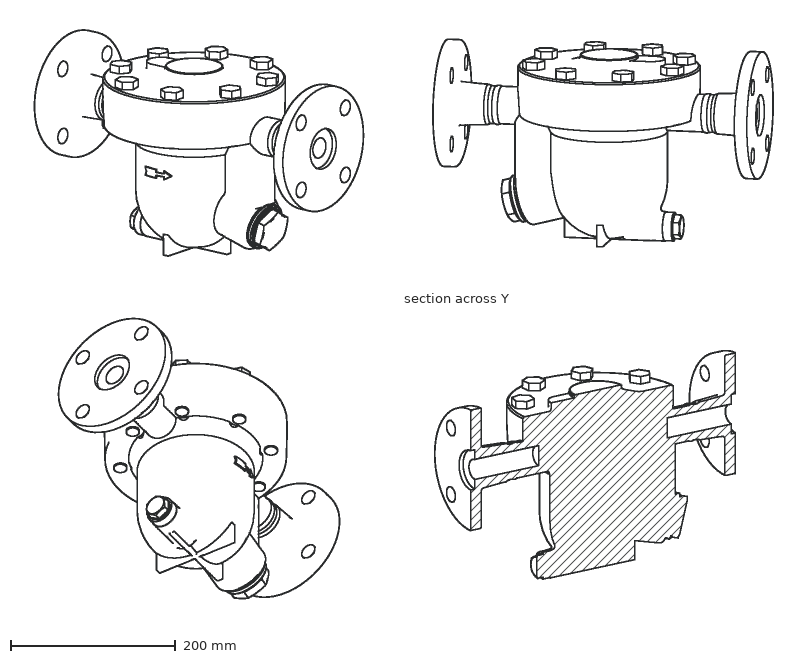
import cadquery as cq
import math


INLET_X = -187.5
OUTLET_X = 202.5
FLANGE_DIA = 155.0
FLANGE_THICKNESS = 16.0
FLANGE_EDGE_ROUND = 2.5
FLANGE_BOLT_CIRCLE_DIA = 120.0
FLANGE_HOLE_DIA = 19.0
FLANGE_HOLE_COUNT = 4
HUB_BASE_DIA = 53.0
HUB_FILLET = 3.0
HUB_END_DIA = 49.5
HUB_END = 52.0
HUB_WELD_END = 56.5
BEAD_START = 61.5
BEAD_END = 68.5
BEAD_HEIGHT = 1.0
PIPE_DIA = 46.0
RECESS_DIA = 50.0
RECESS_DEPTH = 6.0
BORE_DIA = 25.0
BORE_DEPTH = 100.0

COVER_DIA = 222.0
COVER_TOP_Z = 54.0
COVER_BOTTOM_Z = 27.0
COVER_CHAMFER = 2.0
DOME_FOOT_RADIUS = 67.8
DOME_FLARE_RADIUS = 55.8
DOME_SLOPE = math.radians(18.3)
KNOB_DIA = 70.0
KNOB_TOP_Z = 68.2
KNOB_CHAMFER = 1.0
KNOB_FILLET = 4.3
EAR_RADIUS = 17.5
EAR_CENTER_X = -52.0
EAR_TOP_Z = 64.5
EAR_FILLET = 2.5
SELECTION_MARGIN = 1.0

BOLT_COUNT = 8
BOLT_CIRCLE_RADIUS = 93.0
BOLT_DIA = 16.0
BOLT_END_Z = -8.0
BOLT_HEAD_HEIGHT = 9.5
BOLT_HEAD_FLATS = 24.0
SPOT_FACE_DIA = 27.0

BODY_RADIUS = 71.3
BODY_FLANGE_BOTTOM_Z = -6.0
BODY_FLANGE_BOTTOM_HALF_X = 108.7
BODY_FLANGE_ROUND = 1.0
NECK_TOP_RADIUS = 81.5
NECK_BOTTOM_Z = -27.0
BOWL_CENTER_Z = -87.5

FOOT_BOTTOM_Z = -160.0
FOOT_REACH = 54.7
FOOT_THICKNESS = 8.0
FOOT_TOP_Z = -120.0
FOOT_ROUND = 1.0

RIB_WIDTH = PIPE_DIA
RIB_END_X = 114.6
RIB_CORNER_RADIUS = 13.0
RIB_BOTTOM_Z = -88.0

SCREEN_BOSS_X = 98.8
SCREEN_BOSS_Z = -111.4
SCREEN_TILT = 15.0
SCREEN_BOSS_DIA = 70.0
SCREEN_BOSS_START = -70.0
SCREEN_BOSS_END = 8.0
SCREEN_BOSS_ROUND = 7.0
SCREEN_RIB_FILLET = 8.0
SCREEN_GASKET_DIA = 56.0
SCREEN_GASKET_END = 10.4
SCREEN_COLLAR_DIA = 58.0
SCREEN_COLLAR_END = 16.0
SCREEN_COLLAR_CHAMFER = 1.5
SCREEN_NECK_DIA = 50.0
SCREEN_NECK_END = 17.6
SCREEN_HEX_FLATS = 46.0
SCREEN_HEX_END = 28.6

HEX_FACE_RATIO = 0.95
HEX_CHAMFER_DEPTH = 1.5

DRAIN_Z = -142.0
DRAIN_BOSS_DIA = 36.0
DRAIN_BOSS_START_X = -70.0
DRAIN_BOSS_END_X = -20.0
DRAIN_LIP_DIA = 35.0
DRAIN_LIP_X = -80.7
DRAIN_FILLET = 4.0
DRAIN_WASHER_DIA = 30.0
DRAIN_WASHER_X = -81.7
DRAIN_HEX_FLATS = 26.0
DRAIN_HEX_X = -90.5

ARROW_CENTER_Z = -52.5
ARROW_TAIL_X = -19.5
ARROW_NOTCH_DEPTH = 2.0
ARROW_SHAFT_X = -0.5
ARROW_HEAD_X = 11.0
ARROW_TIP_X = 20.8
ARROW_TAIL_HALF = 5.4
ARROW_SHAFT_HALF = 2.0
ARROW_HEIGHT = 1.5


def make_hex(plane, flats, length):
    """Hexagonal head with the given size across flats, standing on a plane."""
    return cq.Workplane(plane).polygon(6, 2 * flats / math.sqrt(3)).extrude(length)


def make_turned_hex(plane, flats, length):
    """Hexagonal head with its outer corners turned down to a round end face."""
    corner_radius = flats / math.sqrt(3)
    face_radius = HEX_FACE_RATIO * flats / 2
    turned_blank = (
        cq.Workplane(plane)
        .circle(corner_radius)
        .extrude(length - HEX_CHAMFER_DEPTH)
        .faces(cq.selectors.DirectionMinMaxSelector(plane.zDir, True))
        .workplane()
        .circle(corner_radius)
        .workplane(offset=HEX_CHAMFER_DEPTH)
        .circle(face_radius)
        .loft(ruled=True)
    )
    return make_hex(plane, flats, length).intersect(turned_blank)


def make_body_flange():
    """Round at the cover joint, narrowing toward its underside along X only."""
    flange = (
        cq.Workplane("XY", origin=(0, 0, BODY_FLANGE_BOTTOM_Z))
        .ellipse(BODY_FLANGE_BOTTOM_HALF_X, COVER_DIA / 2)
        .workplane(offset=COVER_BOTTOM_Z - BODY_FLANGE_BOTTOM_Z)
        .circle(COVER_DIA / 2)
        .loft(ruled=True)
    )
    return flange.faces("<Z").edges().fillet(BODY_FLANGE_ROUND)


def make_body():
    outline = (
        cq.Workplane("XZ")
        .moveTo(0, BODY_FLANGE_BOTTOM_Z)
        .lineTo(NECK_TOP_RADIUS, BODY_FLANGE_BOTTOM_Z)
        .lineTo(BODY_RADIUS, NECK_BOTTOM_Z)
        .lineTo(BODY_RADIUS, BOWL_CENTER_Z)
        .radiusArc((0, BOWL_CENTER_Z - BODY_RADIUS), BODY_RADIUS)
        .close()
    )
    return outline.revolve(360, (0, 0, 0), (0, 1, 0))


def make_cover():
    flare_run = DOME_FOOT_RADIUS - DOME_FLARE_RADIUS
    flare_radius = flare_run / math.sin(DOME_SLOPE)
    flare_z = COVER_TOP_Z + flare_radius * (1 - math.cos(DOME_SLOPE))
    knob_radius = KNOB_DIA / 2
    knob_base_z = flare_z + (DOME_FLARE_RADIUS - knob_radius) * math.tan(DOME_SLOPE)
    outline = (
        cq.Workplane("XZ")
        .moveTo(0, COVER_BOTTOM_Z)
        .lineTo(COVER_DIA / 2, COVER_BOTTOM_Z)
        .lineTo(COVER_DIA / 2, COVER_TOP_Z - COVER_CHAMFER)
        .lineTo(COVER_DIA / 2 - COVER_CHAMFER, COVER_TOP_Z)
        .lineTo(DOME_FOOT_RADIUS, COVER_TOP_Z)
        .radiusArc((DOME_FLARE_RADIUS, flare_z), flare_radius)
        .lineTo(knob_radius, knob_base_z)
        .lineTo(knob_radius, KNOB_TOP_Z - KNOB_CHAMFER)
        .lineTo(knob_radius - KNOB_CHAMFER, KNOB_TOP_Z)
        .lineTo(0, KNOB_TOP_Z)
        .close()
    )
    cover = outline.revolve(360, (0, 0, 0), (0, 1, 0))
    reach = knob_radius + SELECTION_MARGIN
    knob_base = cq.selectors.BoxSelector(
        (-reach, -reach, knob_base_z - SELECTION_MARGIN),
        (reach, reach, knob_base_z + SELECTION_MARGIN),
        boundingbox=True,
    )
    return cover.edges(knob_base).fillet(KNOB_FILLET)


def add_ear(cover):
    ear_height = EAR_TOP_Z - COVER_BOTTOM_Z
    base = cq.Workplane("XY", origin=(EAR_CENTER_X, 0, COVER_BOTTOM_Z))
    end = base.circle(EAR_RADIUS).extrude(ear_height)
    arm = (
        cq.Workplane("XY", origin=(EAR_CENTER_X, 0, COVER_BOTTOM_Z))
        .rect(-EAR_CENTER_X, 2 * EAR_RADIUS, centered=(False, True))
        .extrude(ear_height)
    )
    joined = cover.union(end.union(arm))
    half_width = EAR_RADIUS + SELECTION_MARGIN
    ear_foot = cq.selectors.BoxSelector(
        (EAR_CENTER_X - half_width, -half_width, COVER_TOP_Z - SELECTION_MARGIN),
        (-KNOB_DIA / 2 + SELECTION_MARGIN, half_width, EAR_TOP_Z - SELECTION_MARGIN),
        boundingbox=True,
    )
    return joined.edges(ear_foot).edges("not |Z").fillet(EAR_FILLET)


def make_bolts():
    bolts = cq.Workplane("XY")
    half_step = 180 / BOLT_COUNT
    for index in range(BOLT_COUNT):
        turn = index * 360 / BOLT_COUNT
        head = (
            make_hex(cq.Plane.XY(), BOLT_HEAD_FLATS, BOLT_HEAD_HEIGHT)
            .rotate((0, 0, 0), (0, 0, 1), -half_step)
            .translate((BOLT_CIRCLE_RADIUS, 0, COVER_TOP_Z))
        )
        shank = (
            cq.Workplane("XY", origin=(BOLT_CIRCLE_RADIUS, 0, BOLT_END_Z))
            .circle(BOLT_DIA / 2)
            .extrude(COVER_TOP_Z - BOLT_END_Z)
        )
        bolt = head.union(shank)
        bolts = bolts.add(bolt.rotate((0, 0, 0), (0, 0, 1), turn + half_step))
    return bolts.combine()


def make_spot_faces():
    return (
        cq.Workplane("XY", origin=(0, 0, BODY_FLANGE_BOTTOM_Z))
        .polarArray(BOLT_CIRCLE_RADIUS, 180 / BOLT_COUNT, 360, BOLT_COUNT)
        .circle(SPOT_FACE_DIA / 2)
        .extrude(NECK_BOTTOM_Z - BODY_FLANGE_BOTTOM_Z)
    )


def make_pipe():
    """Flange, welding hub and pipe along +X, with the flange face at X = 0."""
    pipe_radius = PIPE_DIA / 2
    hub_radius = HUB_BASE_DIA / 2
    flange_radius = FLANGE_DIA / 2
    bead_middle = (BEAD_START + BEAD_END) / 2
    return (
        cq.Workplane("XY")
        .moveTo(0, 0)
        .lineTo(0, flange_radius)
        .lineTo(FLANGE_THICKNESS - FLANGE_EDGE_ROUND, flange_radius)
        .radiusArc((FLANGE_THICKNESS, flange_radius - FLANGE_EDGE_ROUND), FLANGE_EDGE_ROUND)
        .lineTo(FLANGE_THICKNESS, hub_radius + HUB_FILLET)
        .radiusArc((FLANGE_THICKNESS + HUB_FILLET, hub_radius), -HUB_FILLET)
        .lineTo(HUB_END, HUB_END_DIA / 2)
        .lineTo(HUB_WELD_END, pipe_radius)
        .lineTo(BEAD_START, pipe_radius)
        .threePointArc((bead_middle, pipe_radius + BEAD_HEIGHT), (BEAD_END, pipe_radius))
        .lineTo(-INLET_X, pipe_radius)
        .lineTo(-INLET_X, 0)
        .close()
        .revolve(360, (0, 0, 0), (1, 0, 0))
    )


def make_pipe_openings():
    """Bolt holes, recess and blind bore of a flange whose face is at X = 0."""
    first_hole_angle = 180 / FLANGE_HOLE_COUNT
    holes = (
        cq.Workplane("YZ")
        .polarArray(FLANGE_BOLT_CIRCLE_DIA / 2, first_hole_angle, 360, FLANGE_HOLE_COUNT)
        .circle(FLANGE_HOLE_DIA / 2)
        .extrude(FLANGE_THICKNESS)
    )
    recess = cq.Workplane("YZ").circle(RECESS_DIA / 2).extrude(RECESS_DEPTH)
    bore = cq.Workplane("YZ").circle(BORE_DIA / 2).extrude(BORE_DEPTH)
    return holes.union(recess).union(bore)


def at_both_ends(shape):
    """Places a shape at the inlet face and its mirror image at the outlet face."""
    inlet = shape.translate((INLET_X, 0, 0))
    outlet = shape.mirror("YZ").translate((OUTLET_X, 0, 0))
    return inlet.add(outlet).combine()


def make_foot(turn):
    foot = (
        cq.Workplane("XY", origin=(0, 0, FOOT_BOTTOM_Z))
        .rect(FOOT_REACH, FOOT_THICKNESS, centered=(False, True))
        .extrude(FOOT_TOP_Z - FOOT_BOTTOM_Z)
        .edges("(|Z and >X) or (<Z and (not <X))")
        .fillet(FOOT_ROUND)
    )
    return foot.rotate((0, 0, 0), (0, 0, 1), turn)


def make_rib():
    return (
        cq.Workplane("XY", origin=(0, 0, RIB_BOTTOM_Z))
        .rect(RIB_END_X, RIB_WIDTH, centered=(False, True))
        .extrude(-RIB_BOTTOM_Z)
        .edges("|Z and >X")
        .fillet(RIB_CORNER_RADIUS)
    )


def screen_axis_plane(distance):
    """Plane across the tilted screen axis, facing outward."""
    tilt = math.radians(SCREEN_TILT)
    along = (math.cos(tilt), 0, -math.sin(tilt))
    origin = (SCREEN_BOSS_X + distance * along[0], 0, SCREEN_BOSS_Z + distance * along[2])
    return cq.Plane(origin=origin, xDir=(math.sin(tilt), 0, math.cos(tilt)), normal=along)


def make_screen_boss():
    return (
        cq.Workplane(screen_axis_plane(SCREEN_BOSS_START))
        .circle(SCREEN_BOSS_DIA / 2)
        .extrude(SCREEN_BOSS_END - SCREEN_BOSS_START)
        .faces(cq.selectors.DirectionMinMaxSelector(screen_axis_plane(0).zDir, True))
        .edges()
        .fillet(SCREEN_BOSS_ROUND)
    )


def make_rib_and_screen_boss():
    joined = make_rib().union(make_screen_boss())
    side_seams = cq.selectors.BoxSelector(
        (BODY_RADIUS / 2, -RIB_WIDTH, RIB_BOTTOM_Z),
        (RIB_END_X, RIB_WIDTH, RIB_BOTTOM_Z / 2),
        boundingbox=True,
    )
    return joined.edges(side_seams).edges("%LINE").edges("not |Y").fillet(SCREEN_RIB_FILLET)


def make_screen_plug():
    gasket = (
        cq.Workplane(screen_axis_plane(SCREEN_BOSS_END))
        .circle(SCREEN_GASKET_DIA / 2)
        .extrude(SCREEN_GASKET_END - SCREEN_BOSS_END)
    )
    collar = (
        cq.Workplane(screen_axis_plane(SCREEN_GASKET_END))
        .circle(SCREEN_COLLAR_DIA / 2)
        .extrude(SCREEN_COLLAR_END - SCREEN_GASKET_END)
        .faces(cq.selectors.DirectionMinMaxSelector(screen_axis_plane(0).zDir, True))
        .chamfer(SCREEN_COLLAR_CHAMFER)
    )
    neck = (
        cq.Workplane(screen_axis_plane(SCREEN_COLLAR_END))
        .circle(SCREEN_NECK_DIA / 2)
        .extrude(SCREEN_NECK_END - SCREEN_COLLAR_END)
    )
    head_plane = screen_axis_plane(SCREEN_NECK_END)
    head = make_turned_hex(head_plane, SCREEN_HEX_FLATS, SCREEN_HEX_END - SCREEN_NECK_END)
    return gasket.union(collar).union(neck).union(head)


def drain_plane(x):
    return cq.Workplane("YZ", origin=(x, 0, DRAIN_Z))


def make_drain_boss():
    length = DRAIN_BOSS_END_X - DRAIN_BOSS_START_X
    return drain_plane(DRAIN_BOSS_START_X).circle(DRAIN_BOSS_DIA / 2).extrude(length)


def union_drain_boss(body):
    """Joins the drain boss to the bowl and fillets the seam between them."""
    joined = body.union(make_drain_boss())
    seam = cq.selectors.BoxSelector(
        (DRAIN_BOSS_START_X + 0.5, -DRAIN_BOSS_DIA, BOWL_CENTER_Z),
        (DRAIN_BOSS_END_X + 0.5, DRAIN_BOSS_DIA, FOOT_BOTTOM_Z + 1),
        boundingbox=True,
    )
    return joined.edges(seam).edges("%BSPLINE").fillet(DRAIN_FILLET)


def make_drain_plug():
    lip_length = DRAIN_BOSS_START_X - DRAIN_LIP_X
    lip = drain_plane(DRAIN_LIP_X).circle(DRAIN_LIP_DIA / 2).extrude(lip_length)
    washer_length = DRAIN_LIP_X - DRAIN_WASHER_X
    washer = drain_plane(DRAIN_WASHER_X).circle(DRAIN_WASHER_DIA / 2).extrude(washer_length)
    head_plane = cq.Plane(origin=(DRAIN_WASHER_X, 0, DRAIN_Z), xDir=(0, 0, 1), normal=(-1, 0, 0))
    head = make_turned_hex(head_plane, DRAIN_HEX_FLATS, DRAIN_WASHER_X - DRAIN_HEX_X)
    return lip.union(washer).union(head)


def make_arrow():
    plate = (
        cq.Workplane("XZ", origin=(0, 0, ARROW_CENTER_Z))
        .moveTo(ARROW_TAIL_X, ARROW_TAIL_HALF)
        .lineTo(ARROW_SHAFT_X, ARROW_TAIL_HALF)
        .lineTo(ARROW_SHAFT_X, ARROW_SHAFT_HALF)
        .lineTo(ARROW_HEAD_X, ARROW_SHAFT_HALF)
        .lineTo(ARROW_HEAD_X, ARROW_TAIL_HALF)
        .lineTo(ARROW_TIP_X, 0)
        .lineTo(ARROW_HEAD_X, -ARROW_TAIL_HALF)
        .lineTo(ARROW_HEAD_X, -ARROW_SHAFT_HALF)
        .lineTo(ARROW_SHAFT_X, -ARROW_SHAFT_HALF)
        .lineTo(ARROW_SHAFT_X, -ARROW_TAIL_HALF)
        .lineTo(ARROW_TAIL_X, -ARROW_TAIL_HALF)
        .lineTo(ARROW_TAIL_X + ARROW_NOTCH_DEPTH, 0)
        .close()
        .extrude(2 * BODY_RADIUS)
    )
    skin = (
        cq.Workplane("XY", origin=(0, 0, ARROW_CENTER_Z))
        .circle(BODY_RADIUS + ARROW_HEIGHT)
        .extrude(ARROW_TAIL_HALF, both=True)
    )
    return plate.intersect(skin)


body = union_drain_boss(make_body()).cut(make_spot_faces()).union(make_body_flange())
body = body.union(make_rib_and_screen_boss())
for foot_turn in (0, 90, 180, 270):
    body = body.union(make_foot(foot_turn))
body = body.union(make_screen_plug()).union(make_drain_plug()).union(make_arrow())

result = body.union(add_ear(make_cover())).union(make_bolts())
result = result.union(at_both_ends(make_pipe())).cut(at_both_ends(make_pipe_openings()))